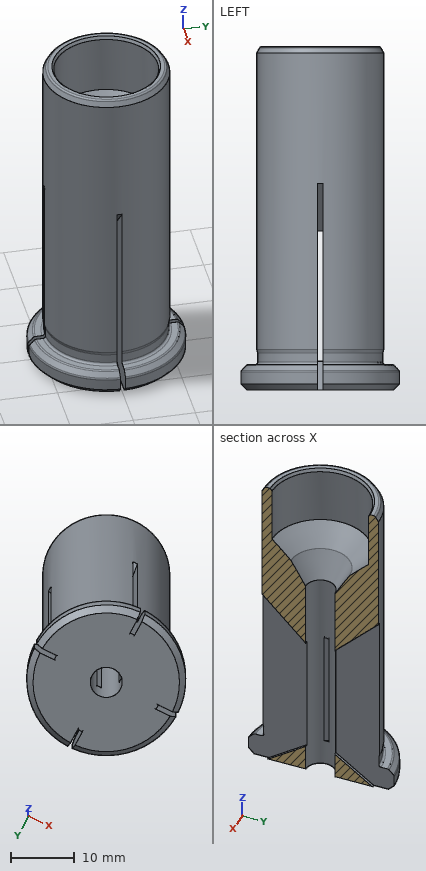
import cadquery as cq
import math

length = 54.0
body_radius = 10.0
edge_fillet = 0.4

flange_radius = 12.5
flange_height = 4.0
flange_chamfer = 1.0

neck_radius = 9.86
neck_top = 5.85
neck_ramp_angle = 15.0

rim_bevel_angle = 30.0
outer_bevel_height = 1.0
inner_bevel_height = 0.5

bore_radius = 8.25
bore_depth = 10.0
step_radius = 5.0
hole_radius = 2.5
upper_cone_half_angle = 45.0
lower_cone_half_angle = 30.0

slot_count = 4
slot_width = 0.8
slot_top = 32.5
slot_roof_angle = 45.0
slot_floor_angle = 35.0
slot_floor_radius = 9.0
slot_overshoot = 1.0


def tan_deg(angle):
    return math.tan(math.radians(angle))


class RingAt(cq.Selector):
    """Selects the circular edge with a given radius and height."""

    tolerance = 1e-6

    def __init__(self, radius, height):
        self.radius = radius
        self.height = height

    def filter(self, edges):
        return [edge for edge in edges if self.matches(edge)]

    def matches(self, edge):
        if edge.geomType() != "CIRCLE":
            return False
        same_radius = abs(edge.radius() - self.radius) < self.tolerance
        same_height = abs(edge.Center().z - self.height) < self.tolerance
        return same_radius and same_height


def revolve_profile(outline):
    """Turns a (radius, height) outline around the Z axis."""
    return cq.Workplane("XZ").polyline(outline).close().revolve(360, (0, 0), (0, 1))


def make_body():
    """Solid sleeve with flange, relief groove and bevelled upper rim."""
    rim_radius = body_radius - outer_bevel_height * tan_deg(rim_bevel_angle)
    flange_face_radius = flange_radius - flange_chamfer
    flange_shoulder = flange_height - flange_chamfer
    ramp_height = (body_radius - neck_radius) / tan_deg(neck_ramp_angle)
    body = revolve_profile([
        (0, 0),
        (flange_face_radius, 0),
        (flange_radius, flange_chamfer),
        (flange_radius, flange_shoulder),
        (flange_face_radius, flange_height),
        (neck_radius, flange_height),
        (neck_radius, neck_top),
        (body_radius, neck_top + ramp_height),
        (body_radius, length - outer_bevel_height),
        (rim_radius, length),
        (0, length),
    ])
    rounded_rings = [
        (flange_radius, flange_shoulder),
        (flange_face_radius, flange_height),
        (neck_radius, flange_height),
        (rim_radius, length),
    ]
    for radius, height in rounded_rings:
        body = body.edges(RingAt(radius, height)).fillet(edge_fillet)
    return body


def make_bore():
    """Cutter for the upper bore, the two cones and the through hole."""
    cone_top = length - bore_depth
    step_z = cone_top - (bore_radius - step_radius) / tan_deg(upper_cone_half_angle)
    hole_z = step_z - (step_radius - hole_radius) / tan_deg(lower_cone_half_angle)
    mouth_radius = bore_radius + inner_bevel_height * tan_deg(rim_bevel_angle)
    return revolve_profile([
        (0, 0),
        (hole_radius, 0),
        (hole_radius, hole_z),
        (step_radius, step_z),
        (bore_radius, cone_top),
        (bore_radius, length - inner_bevel_height),
        (mouth_radius, length),
        (0, length),
    ])


def make_slot():
    """Cutter for the slot on the +X side, with sloping roof and floor."""
    outer_radius = flange_radius + slot_overshoot
    roof_slope = tan_deg(slot_roof_angle)
    floor_top = (slot_floor_radius - hole_radius) * tan_deg(slot_floor_angle)
    outline = [
        (outer_radius, 0),
        (slot_floor_radius, 0),
        (hole_radius, floor_top),
        (0, floor_top),
        (0, slot_top - body_radius * roof_slope),
        (outer_radius, slot_top + (outer_radius - body_radius) * roof_slope),
    ]
    return cq.Workplane("XZ").polyline(outline).close().extrude(slot_width / 2, both=True)


result = make_body().cut(make_bore())
for index in range(slot_count):
    turn = index * 360 / slot_count
    result = result.cut(make_slot().rotate((0, 0, 0), (0, 0, 1), turn))